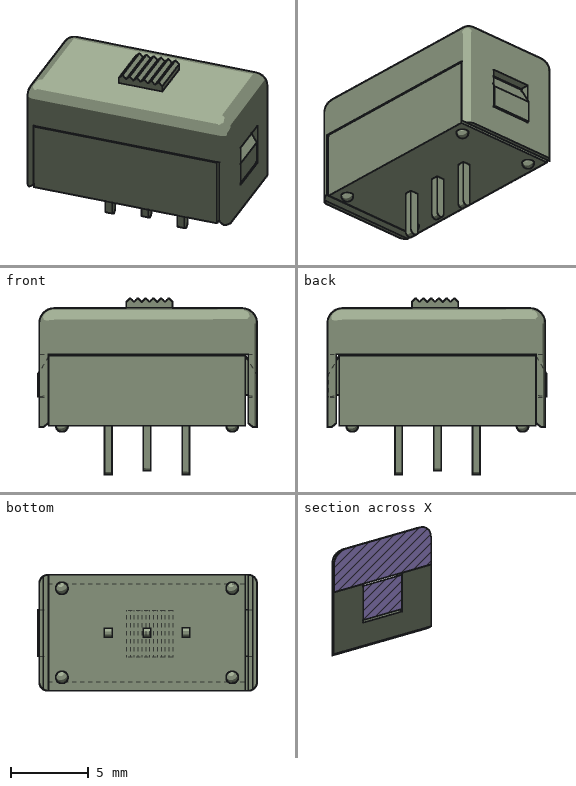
import cadquery as cq

cover_length = 14.07
cover_width = 7.5
cover_top = 7.6
cover_bottom = -0.08
cover_wall = 0.6
corner_radius = cover_wall
top_edge_radius = 1.0
skirt_depth = 3.0
skirt_bottom = cover_top - skirt_depth
flap_chamfer_length = 0.31
flap_chamfer_height = 0.25

body_length = 12.68
body_offset = -0.07
shoulder_gap = 0.07
body_top = skirt_bottom - shoulder_gap

tab_width = 3.0
tab_reach = 0.71
tab_ramp_height = 1.2
tab_root_bottom = 2.0
tab_tip_bottom = 1.87
window_bottom = 1.83

knob_size = 3.0
knob_base_height = 0.4
knob_x = 0.08
knob_y = 0.05
tooth_count = 6
tooth_height = 0.24

pin_width = 0.5
pin_pitch = 2.5
pin_back = 0.28
outer_pin_length = 3.14
middle_pin_length = 2.9
thin_pin = 0.57
thick_pin = 0.62
bump_radius = 0.4
bump_spacing_x = 10.98
bump_spacing_y = 5.75


def block(length, width, bottom, top, x=0.0, y=0.0):
    """Box centred on (x, y) between two heights."""
    return cq.Workplane("XY").box(length, width, top - bottom, (True, True, False)).translate((x, y, bottom))


def make_cover():
    """Rounded cap whose ends run down as flaps and whose long sides stop at a short skirt."""
    cover = block(cover_length, cover_width, cover_bottom, cover_top)
    cover = cover.edges("|Z").fillet(corner_radius)
    cover = cover.faces(">Z").edges().fillet(top_edge_radius)

    inner_x = cover_length / 2 - cover_wall
    flare_x = inner_x + flap_chamfer_length
    flare_top = cover_bottom + flap_chamfer_height
    opening = (
        cq.Workplane("XZ")
        .moveTo(-inner_x, skirt_bottom)
        .lineTo(inner_x, skirt_bottom)
        .lineTo(inner_x, flare_top)
        .lineTo(flare_x, cover_bottom)
        .lineTo(-flare_x, cover_bottom)
        .lineTo(-inner_x, flare_top)
        .close()
        .extrude(cover_width / 2, both=True)
    )
    windows = block(cover_length, tab_width, window_bottom, skirt_bottom)
    return cover.cut(opening).cut(windows)


def make_body():
    """Body block with a narrower core that rises across the shoulder gap into the cover."""
    core_width = cover_width - 2 * cover_wall
    body = block(body_length, cover_width, 0, body_top, body_offset)
    core = block(body_length, core_width, body_top, skirt_bottom, body_offset)
    return body.union(core)


def make_tab(side):
    """Ramped snap tab on one end of the body; side is -1 or +1."""
    root_x = body_offset + side * body_length / 2
    tip_x = root_x + side * tab_reach
    return (
        cq.Workplane("XZ")
        .moveTo(body_offset, body_top)
        .lineTo(root_x, body_top)
        .lineTo(tip_x, body_top - tab_ramp_height)
        .lineTo(tip_x, tab_tip_bottom)
        .lineTo(root_x, tab_root_bottom)
        .lineTo(body_offset, tab_root_bottom)
        .close()
        .extrude(tab_width / 2, both=True)
    )


def make_knob():
    """Square knob with ridges running along Y."""
    left = knob_x - knob_size / 2
    pitch = knob_size / tooth_count
    valley_z = cover_top + knob_base_height
    profile = cq.Workplane("XZ").moveTo(left, cover_top).lineTo(left, valley_z)
    for tooth in range(tooth_count):
        start = left + tooth * pitch
        profile = profile.lineTo(start + pitch / 2, valley_z + tooth_height)
        profile = profile.lineTo(start + pitch, valley_z)
    profile = profile.lineTo(left + knob_size, cover_top).close()
    return profile.extrude(knob_size / 2, both=True).translate((0, knob_y, 0))


def make_pin(x, length, thickness):
    """Flat terminal pin with a fully rounded end."""
    radius = thickness / 2
    front = pin_back - thickness
    return (
        cq.Workplane("YZ")
        .moveTo(pin_back, 0)
        .lineTo(pin_back, radius - length)
        .threePointArc((pin_back - radius, -length), (front, radius - length))
        .lineTo(front, 0)
        .close()
        .extrude(pin_width / 2, both=True)
        .translate((x, 0, 0))
    )


def make_bumps():
    """Four spherical standoffs, half sunk into the underside of the body."""
    return (
        cq.Workplane("XY")
        .center(body_offset, 0)
        .rarray(bump_spacing_x, bump_spacing_y, 2, 2)
        .sphere(bump_radius)
    )


result = make_cover().union(make_body()).union(make_knob()).union(make_bumps())
for end in (-1, 1):
    result = result.union(make_tab(end))

result = result.union(make_pin(body_offset - pin_pitch, outer_pin_length, thin_pin))
result = result.union(make_pin(body_offset, middle_pin_length, thin_pin))
result = result.union(make_pin(body_offset + pin_pitch, outer_pin_length, thick_pin))